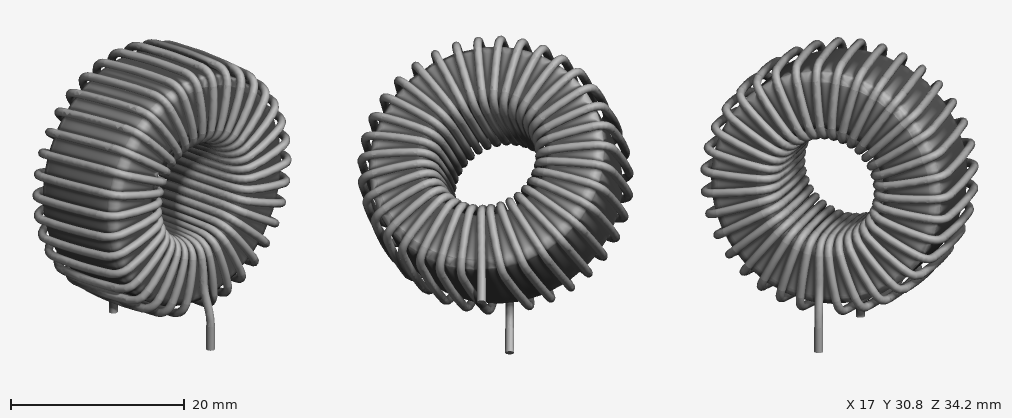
import cadquery as cq
import math


CORE_DIAMETER = 27.7
CORE_HOLE_DIAMETER = 14.1
CORE_WIDTH = 12.1
CORE_EDGE_RADIUS = 1.03

WIRE_DIAMETER = 1.0
TURNS = 34
PITCH_ANGLE = 10.33
PASS_HALF_WIDTH = 4.7
OUTER_PASS_RADIUS = 14.75
INNER_PASS_RADIUS = 6.15
FACE_OUTER_RADIUS = 13.0
FACE_INNER_RADIUS = 7.8
FACE_OUTER_X = 6.7
FACE_INNER_X = 6.8
PASS_LEAN = 4.7
FACE_LEAN = 11.0

INNER_PASS_ADVANCE = 1.1
FACE_INNER_ADVANCE = 1.6
FACE_OUTER_ADVANCE = 3.1
OUTER_PASS_ADVANCE = 1.5

LEAD_INNER_ANGLE = 2.2
LEAD_BEND_RADIUS = 10.4
LEAD_BEND_X = 7.05
LEAD_BEND_OFFSET = 0.25
TIP_DIAMETER = 1.03
TIP_LENGTH = 2.95
TIP_X = 8.0
TIP_BOTTOM_Z = -18.85
TIP_TOP_Z = TIP_BOTTOM_Z + TIP_LENGTH


def ring_point(x, radius, angle):
    a = math.radians(angle)
    return cq.Vector(x, radius * math.sin(a), -radius * math.cos(a))


def away_from_axis(angle):
    return ring_point(0, 1, angle)


def around_ring(angle):
    return ring_point(0, 1, angle + 90)


def node(x, radius, angle, heading):
    """End of a run or bend; the heading turns from +X towards away from the axis, degrees."""
    return {"x": x, "radius": radius, "angle": angle, "heading": heading}


def half_turned(nodes):
    """The same stretch of wire turned half a revolution about Z and followed backwards."""
    return [node(-n["x"], n["radius"], -n["angle"], -n["heading"]) for n in reversed(nodes)]


def turn_nodes(turn):
    """One turn: out across the +X face, back along the outer pass, in across the -X face."""
    half_pitch = PITCH_ANGLE / 2
    outward_half = [
        node(PASS_HALF_WIDTH, INNER_PASS_RADIUS, INNER_PASS_ADVANCE - half_pitch, PASS_LEAN),
        node(FACE_INNER_X, FACE_INNER_RADIUS, FACE_INNER_ADVANCE - half_pitch, 90 - FACE_LEAN),
        node(FACE_OUTER_X, FACE_OUTER_RADIUS, FACE_OUTER_ADVANCE - half_pitch, 90 + FACE_LEAN),
        node(PASS_HALF_WIDTH, OUTER_PASS_RADIUS, -OUTER_PASS_ADVANCE, 180 - PASS_LEAN),
    ]
    middle_angle = 180 + (turn - (TURNS - 1) / 2) * PITCH_ANGLE
    return [
        node(n["x"], n["radius"], n["angle"] + middle_angle, n["heading"])
        for n in outward_half + half_turned(outward_half)
    ]


def winding_nodes():
    """All turns, with the first and last inner pass that join them to the leads."""
    turns = [n for turn in range(TURNS) for n in turn_nodes(turn)]
    first_pass_angle = turns[0]["angle"] - 2 * INNER_PASS_ADVANCE
    first_bend = [
        node(-FACE_INNER_X, FACE_INNER_RADIUS, LEAD_INNER_ANGLE, FACE_LEAN - 90),
        node(-PASS_HALF_WIDTH, INNER_PASS_RADIUS, first_pass_angle, -PASS_LEAN),
    ]
    return first_bend + turns + half_turned(first_bend)


def node_tangent(n, chord):
    """Direction of the wire at a node; its sideways part follows the chord between the neighbours."""
    heading = math.radians(n["heading"])
    sideways = around_ring(n["angle"])
    return (cq.Vector(math.cos(heading), 0, 0)
            + away_from_axis(n["angle"]) * math.sin(heading)
            + sideways * chord.normalized().dot(sideways)).normalized()


def winding_path():
    nodes = winding_nodes()
    up = cq.Vector(0, 0, 1)
    lead_in = [
        cq.Vector(-TIP_X, 0, TIP_TOP_Z),
        cq.Vector(-LEAD_BEND_X, LEAD_BEND_OFFSET, -LEAD_BEND_RADIUS),
    ]
    lead_out = [cq.Vector(-p.x, -p.y, p.z) for p in reversed(lead_in)]
    points = lead_in + [ring_point(n["x"], n["radius"], n["angle"]) for n in nodes] + lead_out

    first_node = len(lead_in)
    tangents = [up] * len(lead_in)
    for i, n in enumerate(nodes, start=first_node):
        tangents.append(node_tangent(n, points[i + 1] - points[i - 1]))
    tangents += [-up] * len(lead_out)

    edges = [
        cq.Edge.makeSpline([points[i], points[i + 1]], tangents=[tangents[i], tangents[i + 1]])
        for i in range(len(points) - 1)
    ]
    return cq.Wire.assembleEdges(edges)


def make_core():
    core_start = (-CORE_WIDTH / 2, 0, 0)
    return (cq.Workplane("YZ", origin=core_start)
            .circle(CORE_DIAMETER / 2).circle(CORE_HOLE_DIAMETER / 2).extrude(CORE_WIDTH)
            .edges().fillet(CORE_EDGE_RADIUS))


def make_winding():
    return (cq.Workplane("XY", origin=(-TIP_X, 0, TIP_TOP_Z)).circle(WIRE_DIAMETER / 2)
            .sweep(cq.Workplane(obj=winding_path())))


def make_tip(x):
    return cq.Workplane("XY", origin=(x, 0, TIP_BOTTOM_Z)).circle(TIP_DIAMETER / 2).extrude(TIP_LENGTH)


core = make_core()
winding = make_winding()
tips = [make_tip(side * TIP_X) for side in (-1, 1)]
result = cq.Compound.makeCompound([core.val(), winding.val(), *[tip.val() for tip in tips]])